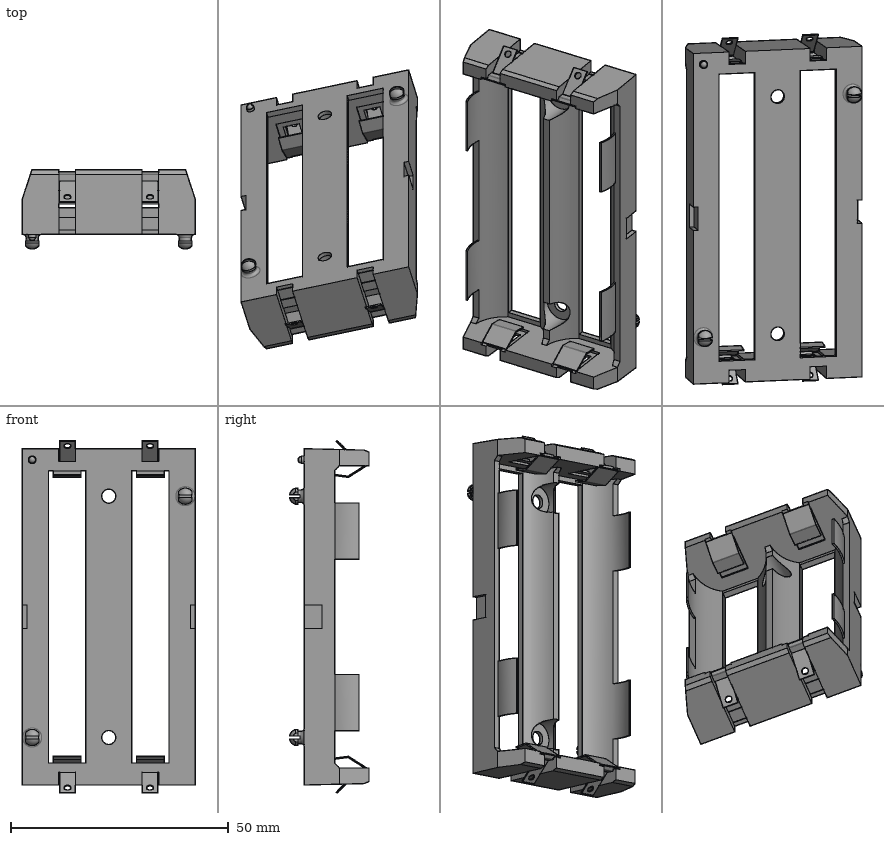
import cadquery as cq
import math

body_width = 39.8
body_length = 77.3
body_depth = 14.9
rail_depth = 7.05
floor_thickness = 1.4
end_wall_inner = 34.7
end_drop = 0.3
end_edge_chamfer_depth = 1.1
end_edge_chamfer_drop = 0.5
taper_start = 8.1
back_width = 35.3
corner_brace = taper_start - rail_depth

bay_x = 9.6
cradle_axis_y = 9.2
cradle_radius = 9.0
window_width = 8.5
window_length = 67.1

arm_thickness = 0.4
arm_top = 12.65
arm_root = 0.8
arm_inner_z = 13.2
arm_outer_z = 26.2

notch_width = 3.8
notch_floor = 35.7
slot_start = 6.15
relief_start = 1.0
relief_end = 3.9
relief_depth = 0.25
contact_width = 6.5
contact_pocket_start = 4.5
contact_pocket_depth = 0.6

sheet = 0.3
tab_width = 3.65
tab_hole_diameter = 1.5
tab_root_y = 12.2
tab_tip_y = 7.45
tab_tip_z = 40.5
tab_hole_inset = 1.5
loop_back_y = 13.8
loop_turn = (14.35, 34.85)
leaf_bend = (10.1, 32.2)
leaf_end = (7.0, 32.6)

pin_x = 17.6
pin_z = 27.7
web_hole_diameter = 3.2
counterbore_diameter = 7.1
counterbore_floor = 1.0
side_notch_length = 5.4
side_notch_width = 1.1
side_notch_depth = 4.1
pin_stem_diameter = 2.9
pin_base_fillet = 0.7
pin_head_diameter = 3.7
pin_head_flats = 3.2
pin_head_start = 1.45
pin_head_edge = 1.95
pin_height = 3.4
pin_slot_width = 0.65
pin_slot_start = 1.0
key_diameter = 1.8
key_shoulder = 0.65
key_dome_diameter = 1.5
key_z = 36.05


def block(x0, x1, y0, y1, z0, z1):
    """Axis-aligned box between two corners."""
    return cq.Workplane("XY").box(x1 - x0, y1 - y0, z1 - z0, centered=False).translate((x0, y0, z0))


def extrude_x(points, x0, x1):
    """Extrude a closed (y, z) outline from x0 to x1."""
    return cq.Workplane("YZ", origin=(x0, 0, 0)).polyline(points).close().extrude(x1 - x0)


def both_ends(shape):
    """The shape and its mirror image at the other end of the body."""
    return shape.union(shape.mirror("XY"))


def cradle_cylinder(radius, length):
    """Cylinder on the axis of the right-hand bay."""
    return cq.Workplane("XY", origin=(bay_x, cradle_axis_y, -length / 2)).circle(radius).extrude(length)


def make_body():
    half_width = body_width / 2
    half_length = body_length / 2
    chamfer_y = body_depth - end_edge_chamfer_depth
    upper_profile = [
        (0, 0),
        (0, half_length),
        (chamfer_y, half_length - end_drop),
        (body_depth, half_length - end_drop - end_edge_chamfer_drop),
        (body_depth, end_wall_inner),
        (taper_start, end_wall_inner),
        (rail_depth, end_wall_inner - corner_brace),
        (rail_depth, 0),
    ]
    body = both_ends(extrude_x(upper_profile, -half_width, half_width))
    outline = (
        cq.Workplane("XY", origin=(0, 0, -half_length))
        .polyline([
            (-half_width, 0),
            (half_width, 0),
            (half_width, taper_start),
            (back_width / 2, body_depth),
            (-back_width / 2, body_depth),
            (-half_width, taper_start),
        ])
        .close()
        .extrude(body_length)
    )
    return body.intersect(outline)


def make_bay_cut():
    """Cradle, window and contact openings of the right-hand bay."""
    above_floor = block(0, body_width, floor_thickness, body_depth, -end_wall_inner, end_wall_inner)
    cut = cradle_cylinder(cradle_radius, 2 * end_wall_inner).intersect(above_floor)
    cut = cut.union(block(
        bay_x - window_width / 2, bay_x + window_width / 2,
        0, cradle_axis_y,
        -window_length / 2, window_length / 2,
    ))
    left = bay_x - notch_width / 2
    right = bay_x + notch_width / 2
    end_cut = block(left, right, 0, body_depth, notch_floor, body_length / 2)
    end_cut = end_cut.union(block(left, right, relief_start, relief_end, notch_floor - relief_depth, notch_floor))
    end_cut = end_cut.union(block(left, right, slot_start, body_depth, end_wall_inner, notch_floor))
    end_cut = end_cut.union(block(
        bay_x - contact_width / 2, bay_x + contact_width / 2,
        contact_pocket_start, body_depth,
        end_wall_inner, end_wall_inner + contact_pocket_depth,
    ))
    return cut.union(both_ends(end_cut))


def make_arm():
    """Upper right-hand spring arm, continuing the cradle above the rail."""
    shell = cradle_cylinder(cradle_radius + arm_thickness, body_length)
    shell = shell.cut(cradle_cylinder(cradle_radius, body_length))
    return shell.intersect(block(bay_x, body_width, rail_depth - arm_root, arm_top, arm_inner_z, arm_outer_z))


def make_strip(path, x0, x1):
    """Sheet-metal strip following straight (y, z) segments, rounded at the bends."""
    strip = None
    for start, end in zip(path, path[1:]):
        length = math.hypot(end[0] - start[0], end[1] - start[1])
        offset_y = -(end[1] - start[1]) / length * sheet / 2
        offset_z = (end[0] - start[0]) / length * sheet / 2
        segment = extrude_x([
            (start[0] + offset_y, start[1] + offset_z),
            (end[0] + offset_y, end[1] + offset_z),
            (end[0] - offset_y, end[1] - offset_z),
            (start[0] - offset_y, start[1] - offset_z),
        ], x0, x1)
        strip = segment if strip is None else strip.union(segment)
    for bend_y, bend_z in path[1:-1]:
        bend = cq.Workplane("YZ", origin=(x0, bend_y, bend_z)).circle(sheet / 2).extrude(x1 - x0)
        strip = strip.union(bend)
    return strip


def make_contact():
    """Upper right-hand contact: solder tab, bridge across the wall and spring leaf."""
    notch_left = bay_x - notch_width / 2
    notch_right = bay_x + notch_width / 2
    bridge_z = notch_floor - sheet / 2
    root = (tab_root_y, bridge_z)
    bridge_end = (loop_back_y, bridge_z)
    tip = (tab_tip_y, tab_tip_z - sheet / 2 * math.sqrt(0.5))
    tab = make_strip([root, tip], notch_left, notch_left + tab_width)
    bridge = make_strip([root, bridge_end, loop_turn], notch_left, notch_right)
    leaf = make_strip([loop_turn, leaf_bend, leaf_end], bay_x - contact_width / 2, bay_x + contact_width / 2)

    tab_length = math.hypot(tip[0] - root[0], tip[1] - root[1])
    along_y = (tip[0] - root[0]) / tab_length
    along_z = (tip[1] - root[1]) / tab_length
    hole_plane = cq.Plane(
        origin=(
            notch_left + tab_width / 2,
            tip[0] - along_y * tab_hole_inset,
            tip[1] - along_z * tab_hole_inset,
        ),
        xDir=(1, 0, 0),
        normal=(0, along_z, -along_y),
    )
    hole = cq.Workplane(hole_plane).circle(tab_hole_diameter / 2).extrude(sheet, both=True)
    return bridge.union(leaf).union(tab.cut(hole))


def make_pin():
    """Split locating pin pointing to -y, with its base on the origin."""
    stem = pin_stem_diameter / 2
    head = pin_head_diameter / 2
    fillet_mid = pin_base_fillet * (1 - math.sqrt(0.5))
    dome_height = pin_height - pin_head_edge
    dome_radius = (head ** 2 + dome_height ** 2) / (2 * dome_height)
    dome_mid_angle = math.asin(head / dome_radius) / 2
    dome_mid = (
        dome_radius * math.sin(dome_mid_angle),
        -pin_height + dome_radius * (1 - math.cos(dome_mid_angle)),
    )
    pin = (
        cq.Workplane("XY")
        .moveTo(0, 0)
        .lineTo(stem + pin_base_fillet, 0)
        .threePointArc((stem + fillet_mid, -fillet_mid), (stem, -pin_base_fillet))
        .lineTo(stem, -pin_head_start)
        .lineTo(head, -pin_head_start)
        .lineTo(head, -pin_head_edge)
        .threePointArc(dome_mid, (0, -pin_height))
        .close()
        .revolve(360, (0, 0, 0), (0, 1, 0))
    )
    flat_half = pin_head_flats / 2
    pin = pin.intersect(
        cq.Workplane("XZ").circle(stem + pin_base_fillet).extrude(pin_head_start)
        .union(block(-flat_half, flat_half, -pin_height, -pin_head_start, -head, head))
    )
    slot_half = pin_slot_width / 2
    return pin.cut(block(-head, head, -pin_height, -pin_slot_start, -slot_half, slot_half))


def make_key():
    """Small domed polarity pin pointing to -y, with its base on the origin."""
    dome_radius = key_dome_diameter / 2
    shoulder = cq.Workplane("XZ").circle(key_diameter / 2).extrude(key_shoulder)
    dome = cq.Workplane("XY").sphere(dome_radius).translate((0, -key_shoulder, 0))
    return shoulder.union(dome)


def make_side_notch():
    """Notch in the front edge of the right-hand rail."""
    edge = body_width / 2
    half = side_notch_length / 2
    return block(edge - side_notch_width, edge, 0, side_notch_depth, -half, half)


def make_web_holes():
    """Through holes in the central web, counterbored through the ridge between the bays."""
    points = [(0, -pin_z), (0, pin_z)]
    holes = cq.Workplane("XZ").pushPoints(points).circle(web_hole_diameter / 2).extrude(-body_depth)
    bores = (
        cq.Workplane("XZ", origin=(0, counterbore_floor, 0))
        .pushPoints(points)
        .circle(counterbore_diameter / 2)
        .extrude(-body_depth)
    )
    return holes.union(bores)


result = make_body().cut(make_web_holes())
right_cut = make_bay_cut().union(make_side_notch())
result = result.cut(right_cut).cut(right_cut.mirror("YZ"))

right_fittings = [both_ends(make_arm()), both_ends(make_contact())]
for fitting in right_fittings:
    result = result.union(fitting).union(fitting.mirror("YZ"))

for side in (-1, 1):
    result = result.union(make_pin().translate((side * pin_x, 0, side * pin_z)))
result = result.union(make_key().translate((-pin_x, 0, key_z)))